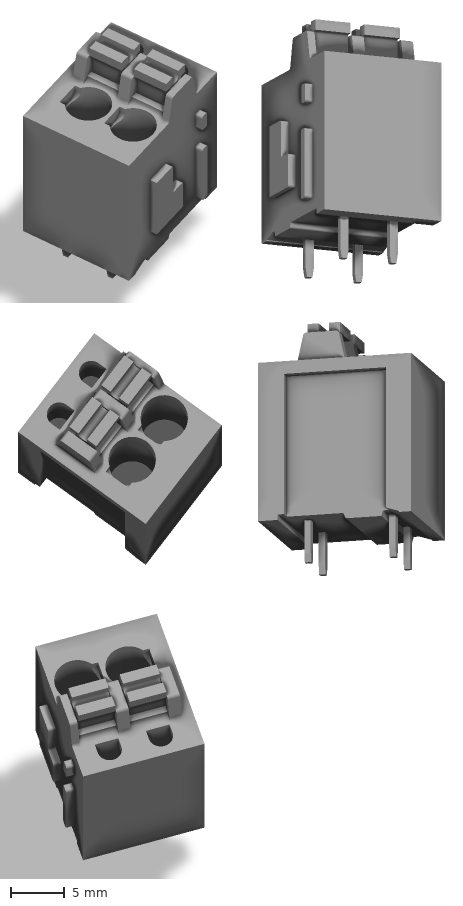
import cadquery as cq


POLES = 2
PITCH = 5.0

HOUSING_X = 11.85
HOUSING_Y = 14.8
HOUSING_Z = 15.19

CEILING_Z = 0.52
FRONT_FOOT_TOE_Y = 1.15
FRONT_FOOT_STEP = 0.1
FRONT_FOOT_HEEL_Y = 2.47
MIDDLE_FOOT_FRONT_Y = 3.18
MIDDLE_FOOT_BACK_Y = 6.65
FOOT_DRAFT = 0.15
FOOT_ROUND = 0.18
REAR_FOOT_Y = 12.9

SIDE_POCKET_FRONT_Y = 2.43
SIDE_POCKET_BACK_Y = 12.3
SIDE_POCKET_TOP_Z = 13.95
SIDE_POCKET_DEPTH = 1.07

LEVER_ROW_Y = 9.01
RIB_X = 1.11
RIB_WIDTH = 1.2
RIB_HEIGHT = 2.88
RIB_HALF_BASE = 2.32
RIB_HALF_CREST = 1.68
RIB_ROUND = 0.3
FOOTING_DEPTH = 0.45
FOOTING_MARGIN = 0.68
NEAR = 0.02

CRADLE_HEIGHT = 0.45
CRADLE_HALF_Y = 1.68
WELL_HALF_Y = 1.02
WELL_DEPTH = 4.55

LEVER_WIDTH = 3.59
LEVER_NECK_HALF_Y = 0.93
LEVER_HEAD_HALF_Y = 1.57
LEVER_HEAD_BOTTOM = 3.02
LEVER_TOP = 4.02
LEVER_NECK_ROUND = 0.15
LEVER_Y = 9.1
SLOT_RADIUS = 0.5
SLOT_BOTTOM = 2.93

WIRE_HOLE_X = 4.2
WIRE_HOLE_Y = 4.7
WIRE_HOLE_DIAMETER = 4.4
WIRE_HOLE_DEPTH = 9.08
NOTCH_X = 1.82
NOTCH_LENGTH_Y = 2.59
NOTCH_DEPTH = 1.36
NOTCH_ROUND = 0.7

PROBE_X = 3.63
PROBE_FLAT_Y = 11.83
PROBE_WIDTH = 2.3
PROBE_ARC_Y = 12.75
PROBE_DEPTH = 5.68

PIN_X = 3.22
PIN_ROWS_Y = (2.59, 10.78)
PIN_WIDTH_X = 0.82
PIN_WIDTH_Y = 0.61
PIN_TIP_WIDTH = 0.55
PIN_TIP_Z = -3.5
PIN_TAPER_Z = -2.65
PIN_TOP_Z = 2.27

BOSS_HEIGHT = 0.75
LONG_BOSS_HEIGHT = 0.8
BOSS_ROUND = 0.23
NARROW_BOSS_FRONT_Y = 11.15
NARROW_BOSS_BACK_Y = 12.0
UPPER_BOSS_Z = (10.87, 12.67)
LONG_BOSS_Z = (1.68, 8.38)
STEP_BOSS_FRONT_Y = 3.56
STEP_BOSS_STEP_Y = 6.29
STEP_BOSS_BACK_Y = 8.0
STEP_BOSS_BOTTOM_Z = 3.59
STEP_BOSS_STEP_Z = 6.8
STEP_BOSS_TOP_Z = 10.35

pole_offsets = [pole * PITCH for pole in range(POLES)]
well_width = PITCH - RIB_WIDTH
well_x = RIB_X + RIB_WIDTH
well_floor_z = HOUSING_Z - WELL_DEPTH
probe_radius = PROBE_WIDTH / 2


def block(x_range, y_range, z_range):
    """Box given by its limits on each axis."""
    (x0, x1), (y0, y1), (z0, z1) = x_range, y_range, z_range
    return cq.Workplane("XY").box(x1 - x0, y1 - y0, z1 - z0, centered=False).translate((x0, y0, z0))


def prism(points, x, length):
    """Closed Y-Z outline extruded along +X from the given x."""
    return cq.Workplane("YZ").workplane(offset=x).polyline(points).close().extrude(length)


def housing_box():
    outline = [
        (0, 0),
        (FRONT_FOOT_TOE_Y, 0),
        (FRONT_FOOT_TOE_Y, FRONT_FOOT_STEP),
        (FRONT_FOOT_HEEL_Y, CEILING_Z),
        (MIDDLE_FOOT_FRONT_Y - FOOT_DRAFT, CEILING_Z),
        (MIDDLE_FOOT_FRONT_Y, 0),
        (MIDDLE_FOOT_BACK_Y, 0),
        (MIDDLE_FOOT_BACK_Y + FOOT_DRAFT, CEILING_Z),
        (REAR_FOOT_Y, CEILING_Z),
        (REAR_FOOT_Y, 0),
        (HOUSING_Y, 0),
        (HOUSING_Y, HOUSING_Z),
        (0, HOUSING_Z),
    ]

    def at_foot_back(edge):
        return MIDDLE_FOOT_BACK_Y - NEAR < edge.Center().y < MIDDLE_FOOT_BACK_Y + FOOT_DRAFT + NEAR

    return prism(outline, 0, HOUSING_X).edges("|X").filter(at_foot_back).fillet(FOOT_ROUND)


def side_pocket():
    return block(
        (0, SIDE_POCKET_DEPTH), (SIDE_POCKET_FRONT_Y, SIDE_POCKET_BACK_Y), (0, SIDE_POCKET_TOP_Z)
    )


def mound(x, length, half_base, half_crest, height):
    """Symmetric raised block on the housing top, with fillets along its foot."""
    half_footing = half_base + FOOTING_MARGIN
    right_half = [
        (half_crest, height),
        (half_base, 0),
        (half_footing, 0),
        (half_footing, -FOOTING_DEPTH),
    ]
    left_half = [(-y, z) for y, z in reversed(right_half)]
    outline = [(LEVER_ROW_Y + y, HOUSING_Z + z) for y, z in right_half + left_half]

    def at_foot(edge):
        center = edge.Center()
        return abs(center.z - HOUSING_Z) < NEAR and abs(center.y - LEVER_ROW_Y) < half_base + NEAR

    return prism(outline, x, length).edges("|X").filter(at_foot).fillet(RIB_ROUND)


def ribs():
    shapes = []
    for number in range(POLES + 1):
        x = RIB_X + number * PITCH
        length = min(RIB_WIDTH, HOUSING_X - x)
        rib = mound(x, length, RIB_HALF_BASE, RIB_HALF_CREST, RIB_HEIGHT)
        shapes.append(rib.edges("|X and >Z").fillet(RIB_ROUND))
    return shapes


def cradle(offset):
    return mound(well_x + offset, well_width, CRADLE_HALF_Y, CRADLE_HALF_Y, CRADLE_HEIGHT)


def lever_well(offset):
    return block(
        (well_x + offset, well_x + offset + well_width),
        (LEVER_ROW_Y - WELL_HALF_Y, LEVER_ROW_Y + WELL_HALF_Y),
        (well_floor_z, HOUSING_Z + CRADLE_HEIGHT),
    )


def wire_entry(offset):
    hole_x = WIRE_HOLE_X + offset
    hole = (
        cq.Workplane("XY", origin=(hole_x, WIRE_HOLE_Y, HOUSING_Z))
        .circle(WIRE_HOLE_DIAMETER / 2)
        .extrude(-WIRE_HOLE_DEPTH)
    )
    half_notch = NOTCH_LENGTH_Y / 2
    notch = block(
        (NOTCH_X + offset, hole_x),
        (WIRE_HOLE_Y - half_notch, WIRE_HOLE_Y + half_notch),
        (HOUSING_Z - NOTCH_DEPTH, HOUSING_Z),
    )
    return hole.union(notch.edges("|X and <Z").fillet(NOTCH_ROUND))


def probe_opening(offset):
    """D-shaped opening, round at the back and flat at the front."""
    return (
        cq.Workplane("XY", origin=(PROBE_X + offset, 0, HOUSING_Z))
        .moveTo(-probe_radius, PROBE_FLAT_Y)
        .lineTo(probe_radius, PROBE_FLAT_Y)
        .lineTo(probe_radius, PROBE_ARC_Y)
        .threePointArc((0, PROBE_ARC_Y + probe_radius), (-probe_radius, PROBE_ARC_Y))
        .close()
        .extrude(-PROBE_DEPTH)
    )


def narrow_boss(z_range, height):
    boss = block(
        (HOUSING_X, HOUSING_X + height), (NARROW_BOSS_FRONT_Y, NARROW_BOSS_BACK_Y), z_range
    )
    return boss.edges("|X").fillet(BOSS_ROUND)


def step_boss():
    """L-shaped boss with rounded back corners and a rounded inner corner."""
    outline = [
        (STEP_BOSS_FRONT_Y, STEP_BOSS_BOTTOM_Z),
        (STEP_BOSS_BACK_Y, STEP_BOSS_BOTTOM_Z),
        (STEP_BOSS_BACK_Y, STEP_BOSS_STEP_Z),
        (STEP_BOSS_STEP_Y, STEP_BOSS_STEP_Z),
        (STEP_BOSS_STEP_Y, STEP_BOSS_TOP_Z),
        (STEP_BOSS_FRONT_Y, STEP_BOSS_TOP_Z),
    ]
    boss = prism(outline, HOUSING_X, BOSS_HEIGHT)

    def behind_front(edge):
        return edge.Center().y > STEP_BOSS_FRONT_Y + NEAR

    return boss.edges("|X").filter(behind_front).fillet(BOSS_ROUND)


def make_pin(x, y):
    """Flat pin, tapered in X towards its tip."""
    half_width = PIN_WIDTH_X / 2
    half_tip = PIN_TIP_WIDTH / 2
    outline = [
        (-half_tip, PIN_TIP_Z),
        (half_tip, PIN_TIP_Z),
        (half_width, PIN_TAPER_Z),
        (half_width, PIN_TOP_Z),
        (-half_width, PIN_TOP_Z),
        (-half_width, PIN_TAPER_Z),
    ]
    return (
        cq.Workplane("XZ", origin=(x, y, 0))
        .polyline(outline)
        .close()
        .extrude(PIN_WIDTH_Y / 2, both=True)
    )


def make_lever(offset):
    """T-shaped lever standing in its well, with a round-bottomed slot along its head."""
    x0 = well_x + offset + (well_width - LEVER_WIDTH) / 2
    x_range = (x0, x0 + LEVER_WIDTH)
    head_bottom_z = HOUSING_Z + LEVER_HEAD_BOTTOM
    top_z = HOUSING_Z + LEVER_TOP
    slot_center_z = HOUSING_Z + SLOT_BOTTOM + SLOT_RADIUS

    neck = block(
        x_range, (LEVER_Y - LEVER_NECK_HALF_Y, LEVER_Y + LEVER_NECK_HALF_Y), (well_floor_z, top_z)
    )
    head = block(
        x_range,
        (LEVER_Y - LEVER_HEAD_HALF_Y, LEVER_Y + LEVER_HEAD_HALF_Y),
        (head_bottom_z, top_z),
    )

    def under_head(edge):
        center = edge.Center()
        at_neck = abs(center.y - LEVER_Y) < LEVER_NECK_HALF_Y + NEAR
        return at_neck and abs(center.z - head_bottom_z) < NEAR

    lever = neck.union(head).edges("|X").filter(under_head).fillet(LEVER_NECK_ROUND)
    slot = block(x_range, (LEVER_Y - SLOT_RADIUS, LEVER_Y + SLOT_RADIUS), (slot_center_z, top_z))
    slot_floor = (
        cq.Workplane("YZ", origin=(x0, LEVER_Y, slot_center_z))
        .circle(SLOT_RADIUS)
        .extrude(LEVER_WIDTH)
    )
    return lever.cut(slot).cut(slot_floor)


def make_housing(pins):
    housing = housing_box().cut(side_pocket())
    for rib in ribs():
        housing = housing.union(rib)
    for offset in pole_offsets:
        housing = housing.union(cradle(offset))
        housing = housing.cut(lever_well(offset))
        housing = housing.cut(wire_entry(offset))
        housing = housing.cut(probe_opening(offset))
    housing = housing.union(narrow_boss(UPPER_BOSS_Z, BOSS_HEIGHT))
    housing = housing.union(narrow_boss(LONG_BOSS_Z, LONG_BOSS_HEIGHT))
    housing = housing.union(step_boss())
    for pin in pins:
        housing = housing.cut(pin)
    return housing


pins = [make_pin(PIN_X + offset, y) for offset in pole_offsets for y in PIN_ROWS_Y]
levers = [make_lever(offset) for offset in pole_offsets]
housing = make_housing(pins)

result = cq.Compound.makeCompound(
    [
        housing.solids().val(),
        *[lever.solids().val() for lever in levers],
        *[pin.solids().val() for pin in pins],
    ]
)